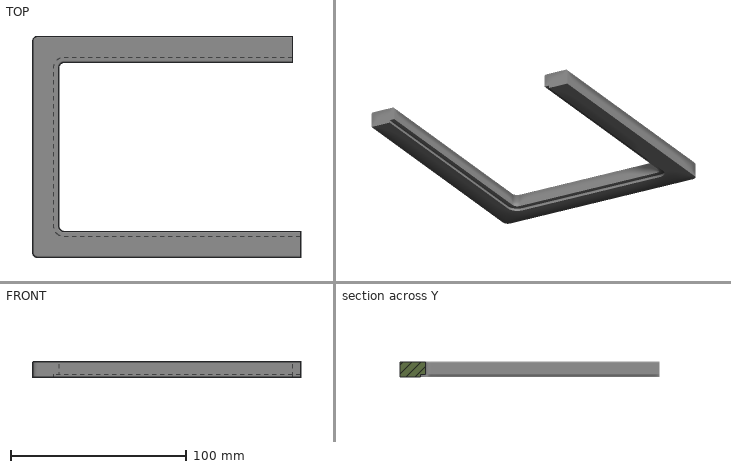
import cadquery as cq

length = 153.06
width = 126.2
height = 9.0

bar_width = 15.0
short_arm_length = 148.3

outer_corner_radius = 3.0
inner_corner_radius = 3.0
top_edge_radius = 1.0

rebate_height = 1.5
rebate_depth = 3.0

inner_front = bar_width
inner_back = width - bar_width


def make_frame():
    """U-shaped plate, open toward +X, with the back arm shorter than the front arm."""
    outline = [
        (0, 0),
        (length, 0),
        (length, inner_front),
        (bar_width, inner_front),
        (bar_width, inner_back),
        (short_arm_length, inner_back),
        (short_arm_length, width),
        (0, width),
    ]
    return cq.Workplane("XY").polyline(outline).close().extrude(height)


def round_upright_corners(body):
    """Round the two outer and the two inner corners where the arms meet the base."""
    body = body.edges("|Z and <X").fillet(outer_corner_radius)
    mid_height = height / 2
    for inner_y in (inner_front, inner_back):
        corner = cq.selectors.NearestToPointSelector((bar_width, inner_y, mid_height))
        body = body.edges("|Z").edges(corner).fillet(inner_corner_radius)
    return body


def round_top_edges(body):
    """Round the long top edges; the edges at the free ends of the arms stay sharp."""
    base_top_edge = cq.selectors.NearestToPointSelector((0, width / 2, height))
    inner_top_edge = cq.selectors.NearestToPointSelector((bar_width, width / 2, height))
    body = body.edges(base_top_edge).fillet(top_edge_radius)
    return body.edges(inner_top_edge).fillet(top_edge_radius)


def cut_rebate(body):
    """Step back the underside along the inner edge of the U, running out at the free ends."""
    rebate_width = inner_back - inner_front + 2 * rebate_depth
    cutter = (
        cq.Workplane("XY")
        .box(length, rebate_width, rebate_height, centered=(False, True, False))
        .translate((bar_width - rebate_depth, width / 2, 0))
        .edges("|Z and <X")
        .fillet(inner_corner_radius + rebate_depth)
    )
    return body.cut(cutter)


frame = make_frame()
frame = round_upright_corners(frame)
frame = round_top_edges(frame)
result = cut_rebate(frame)